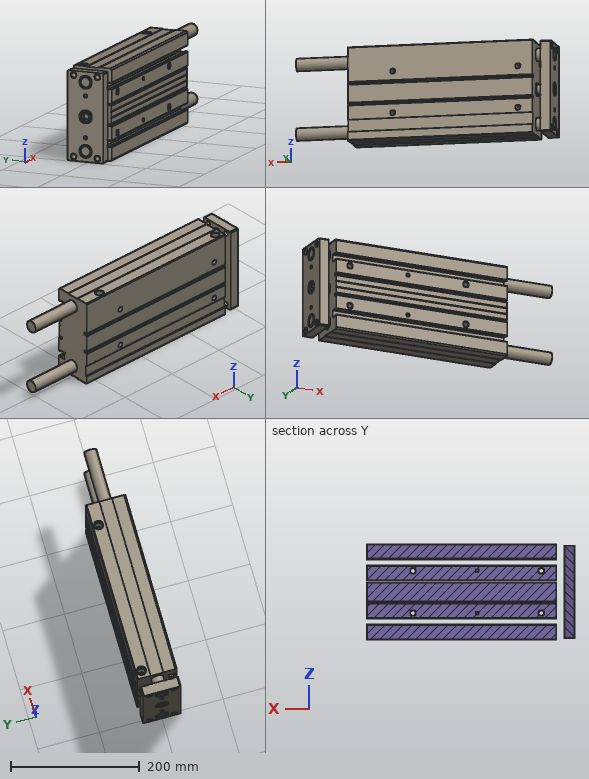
import cadquery as cq
overall_length = 411.0

housing_start = 28.5
housing_length = 294.5
housing_depth = 64.0
housing_width = 148.0
housing_end = housing_start + housing_length
front_face = -housing_depth / 2
back_face = housing_depth / 2
front_edge_chamfer = 2.5
back_edge_chamfer = 1.2
side_recess_width = 20.5
side_recess_depth = 1.0
collar_diameter = 20.5
collar_length = 1.2

tslot_z = 46.0
tslot_throat_width = 8.5
tslot_throat_depth = 3.5
tslot_chamber_width = 11.5
tslot_total_depth = 13.0
tslot_mouth_chamfer = 1.2

sensor_groove_z = 16.5
sensor_groove_width = 3.0
sensor_groove_depth = 6.0
sensor_groove_chamfer = 1.03
center_strip_recess = 1.03
vee_groove_z = 5.0
vee_groove_width = 1.2

back_channel_z = -50.5
back_channel_width = 19.0
back_channel_depth = 2.0

mount_first_x = 51.8
mount_spacing = 199.7
mount_z = 33.0
mount_diameter = 8.2
locating_diameter = 4.0
locating_depth = 10.0
locating_tip_depth = 3.3
hole_chamfer = 1.0

port_first_x = 40.3
port_spacing = 246.0
port_y = 21.8
port_diameter = 12.7
port_chamfer = 1.0
port_depth = 10.0
port_cone_depth = 5.8
port_passage_diameter = 5.5
port_passage_depth = 20.5

plate_thickness = 16.0
plate_depth = 61.2
plate_width = 144.0
plate_long_edge_chamfer = 1.5
plate_corner_y = 20.0
plate_corner_z = 65.0
plate_corner_diameter = 8.2
plate_locating_z = 33.3
rod_counterbore_diameter = 21.0
guide_counterbore_depth = 0.5
piston_counterbore_depth = 2.0

guide_z = 55.0
guide_diameter = 20.0
guide_spigot_diameter = 16.0
piston_diameter = 16.0
piston_end = 279.5
socket_diameter = 10.0
socket_depth = 3.3


def cylinder_x(start, end, diameter, z=0.0):
    """Cylinder along X, centred on Y = 0."""
    return cq.Workplane("YZ", origin=(start, 0, z)).circle(diameter / 2).extrude(end - start)


def block(x_range, y_range, z_range):
    """Box given by its limits on each axis."""
    x0, x1 = x_range
    y0, y1 = y_range
    z0, z1 = z_range
    return cq.Workplane("XY").box(x1 - x0, y1 - y0, z1 - z0, centered=False).translate((x0, y0, z0))


def drill(point, direction, diameter, depth, chamfer):
    """Cutter for a round hole with a chamfered mouth, running from point along direction."""
    center = cq.Vector(*point)
    axis = cq.Vector(*direction)
    bore = cq.Solid.makeCylinder(diameter / 2, depth, center, axis)
    mouth = cq.Solid.makeCone(diameter / 2 + chamfer, diameter / 2, chamfer, center, axis)
    return cq.Workplane(bore).union(cq.Workplane(mouth))


def drill_locating_hole(point, direction):
    """Cutter for a blind locating hole with a conical bottom."""
    axis = cq.Vector(*direction)
    tip_start = cq.Vector(*point) + axis * locating_depth
    tip = cq.Solid.makeCone(locating_diameter / 2, 0, locating_tip_depth, tip_start, axis)
    bore = drill(point, direction, locating_diameter, locating_depth, hole_chamfer)
    return bore.union(cq.Workplane(tip))


def along_housing(points):
    """Extrude a closed (y, z) outline over the full housing length."""
    return cq.Workplane("YZ", origin=(housing_start, 0, 0)).polyline(points).close().extrude(housing_length)


def tslot_cutter(z):
    half_throat = tslot_throat_width / 2
    half_mouth = half_throat + tslot_mouth_chamfer
    half_chamber = tslot_chamber_width / 2
    mouth_y = front_face + tslot_mouth_chamfer
    throat_y = front_face + tslot_throat_depth
    floor_y = front_face + tslot_total_depth
    return along_housing([
        (front_face, z - half_mouth),
        (mouth_y, z - half_throat),
        (throat_y, z - half_throat),
        (throat_y, z - half_chamber),
        (floor_y, z - half_chamber),
        (floor_y, z + half_chamber),
        (throat_y, z + half_chamber),
        (throat_y, z + half_throat),
        (mouth_y, z + half_throat),
        (front_face, z + half_mouth),
    ])


def sensor_groove_cutter(face_y, z, strip_recess):
    """Chamfered groove whose edge nearer the centre starts below the face by strip_recess."""
    inward = 1 if face_y < 0 else -1
    outward_z = 1 if z > 0 else -1
    half_groove = outward_z * sensor_groove_width / 2
    half_mouth = outward_z * (sensor_groove_width / 2 + sensor_groove_chamfer)
    strip_y = face_y + inward * strip_recess
    floor_y = face_y + inward * sensor_groove_depth
    chamfer = inward * sensor_groove_chamfer
    outline = [
        (face_y, z + half_mouth),
        (face_y + chamfer, z + half_groove),
        (floor_y, z + half_groove),
        (floor_y, z - half_groove),
        (strip_y + chamfer, z - half_groove),
        (strip_y, z - half_mouth),
    ]
    if strip_recess > 0:
        outline.append((face_y, z - half_mouth))
    return along_housing(outline)


def vee_groove_cutter(z):
    strip_y = front_face + center_strip_recess
    half_width = vee_groove_width / 2
    return along_housing([
        (strip_y, z - half_width),
        (strip_y + half_width, z),
        (strip_y, z + half_width),
    ])


def port_cutter(x):
    """Port bore with a chamfered mouth and a conical floor leading to a small passage."""
    bore_radius = port_diameter / 2
    passage_radius = port_passage_diameter / 2
    profile = [
        (0, 0),
        (bore_radius + port_chamfer, 0),
        (bore_radius, -port_chamfer),
        (bore_radius, -port_depth),
        (passage_radius, -port_depth - port_cone_depth),
        (passage_radius, -port_passage_depth),
        (0, -port_passage_depth),
    ]
    cutter = cq.Workplane("XZ").polyline(profile).close().revolve(360, (0, 0), (0, 1))
    return cutter.translate((x, port_y, housing_width / 2))


def make_housing():
    housing_x = (housing_start, housing_end)
    half_width = housing_width / 2
    body = block(housing_x, (front_face, back_face), (-half_width, half_width))
    body = body.edges("|X and <Y").chamfer(front_edge_chamfer)
    body = body.edges("|X and >Y").chamfer(back_edge_chamfer)
    body = body.union(cylinder_x(housing_start - collar_length, housing_start, collar_diameter))

    strip_y = (front_face, front_face + center_strip_recess)
    body = body.cut(block(housing_x, strip_y, (-sensor_groove_z, sensor_groove_z)))
    half_channel = back_channel_width / 2
    channel_z = (back_channel_z - half_channel, back_channel_z + half_channel)
    body = body.cut(block(housing_x, (back_face - back_channel_depth, back_face), channel_z))
    for side in (-1, 1):
        side_z = sorted((side * half_width, side * (half_width - side_recess_depth)))
        body = body.cut(block(housing_x, (-side_recess_width / 2, side_recess_width / 2), side_z))
        body = body.cut(tslot_cutter(side * tslot_z))
        body = body.cut(vee_groove_cutter(side * vee_groove_z))
        for face_y, strip_recess in ((front_face, center_strip_recess), (back_face, 0)):
            body = body.cut(sensor_groove_cutter(face_y, side * sensor_groove_z, strip_recess))

    inward = (0, 1, 0)
    locating_x = mount_first_x + mount_spacing / 2
    for z in (-mount_z, mount_z):
        for x in (mount_first_x, mount_first_x + mount_spacing):
            body = body.cut(drill((x, front_face, z), inward, mount_diameter, housing_depth, hole_chamfer))
        locating_point = (locating_x, front_face, z)
        body = body.cut(drill_locating_hole(locating_point, inward))

    for x in (port_first_x, port_first_x + port_spacing):
        body = body.cut(port_cutter(x))

    for z in (-guide_z, guide_z):
        body = body.cut(cylinder_x(housing_start, housing_end, guide_diameter, z))
    return body.cut(cylinder_x(housing_start - collar_length, piston_end, piston_diameter))


def make_plate():
    half_depth = plate_depth / 2
    half_width = plate_width / 2
    plate = block((0, plate_thickness), (-half_depth, half_depth), (-half_width, half_width))
    plate = plate.edges("|X").chamfer(plate_long_edge_chamfer)

    inward = (1, 0, 0)
    for z_side in (-1, 1):
        for y_side in (-1, 1):
            corner = (0, y_side * plate_corner_y, z_side * plate_corner_z)
            plate = plate.cut(drill(corner, inward, plate_corner_diameter, plate_thickness, hole_chamfer))
        locating_point = (0, 0, z_side * plate_locating_z)
        plate = plate.cut(drill_locating_hole(locating_point, inward))

    for z in (-guide_z, guide_z):
        plate = plate.cut(cylinder_x(0, plate_thickness, guide_spigot_diameter, z))
        plate = plate.cut(cylinder_x(0, guide_counterbore_depth, rod_counterbore_diameter, z))
    plate = plate.cut(cylinder_x(0, plate_thickness, piston_diameter))
    return plate.cut(cylinder_x(0, piston_counterbore_depth, rod_counterbore_diameter))


def make_guide_rod(z):
    spigot = cylinder_x(0, plate_thickness, guide_spigot_diameter, z)
    shaft = cylinder_x(plate_thickness, overall_length, guide_diameter, z)
    return spigot.union(shaft)


def make_piston_rod():
    rod_start = piston_counterbore_depth
    rod = cylinder_x(rod_start, piston_end, piston_diameter)
    return rod.cut(cylinder_x(rod_start, rod_start + socket_depth, socket_diameter))


housing = make_housing()
plate = make_plate()
guide_rods = [make_guide_rod(z) for z in (-guide_z, guide_z)]
piston_rod = make_piston_rod()

result = cq.Compound.makeCompound([
    housing.val(),
    plate.val(),
    *[rod.val() for rod in guide_rods],
    piston_rod.val(),
])